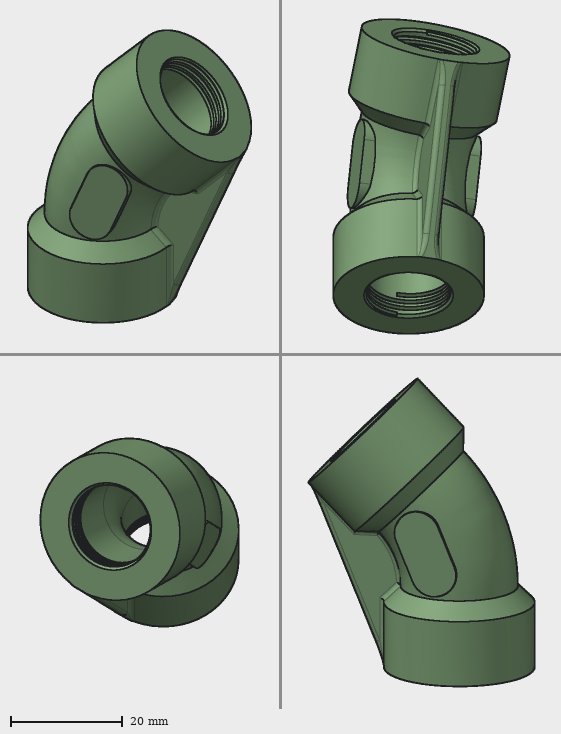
import cadquery as cq
import math

overall_height = 52.2
collar_diameter = 27.0
collar_length = 12.0
neck_diameter = 21.0
bore_diameter = 15.0
bend_angle = 45.0

rib_thickness = 3.0
rib_fillet = 1.0

width_over_pads = 21.65
pad_width = 8.25
pad_centre_spacing = 7.9
pad_offset = 2.1

mouth_chamfer = 0.495
thread_pitch = 1.35
thread_turns = 3
thread_start = 0.4
groove_width = 0.75
groove_angle = 60.0
groove_overlap = 0.15

collar_radius = collar_diameter / 2
neck_radius = neck_diameter / 2
bore_radius = bore_diameter / 2
socket_length = collar_length + collar_radius - neck_radius
bend = math.radians(bend_angle)
centre_to_face = (overall_height - collar_radius * math.sin(bend)) / (1 + math.cos(bend))
bend_radius = (centre_to_face - socket_length) / math.tan(bend / 2)

bend_centre = cq.Vector(bend_radius, 0, socket_length)
inward = cq.Vector(math.cos(bend / 2), 0, -math.sin(bend / 2))
along_rib = cq.Vector(math.sin(bend / 2), 0, math.cos(bend / 2))
bend_middle = bend_centre - inward * bend_radius

end_spare = 10.45
side_spare = 5.2
tolerance = 0.005


def at_both_ends(lower_shape):
    """The shape at the lower end together with its copy at the upper end."""
    return lower_shape.union(lower_shape.rotate(bend_centre, bend_middle, 180))


def symmetric_plate(lower_points, middle_point, thickness):
    """Plate centred on Y = 0, outlined by lower_points, their upper-end twins and middle_point."""
    upper_points = [
        point + along_rib * (2 * (bend_centre - point).dot(along_rib))
        for point in reversed(lower_points)
    ]
    outline = [(point.x, point.z) for point in [*lower_points, *upper_points, middle_point]]
    return cq.Workplane("XZ").polyline(outline).close().extrude(thickness / 2, both=True)


def bent_rod(radius):
    """Round bar along the bend, without the straight ends. Its seam lies on the outside of the bend."""
    start_plane = cq.Plane(origin=(0, 0, socket_length), xDir=(-1, 0, 0))
    return (
        cq.Workplane(start_plane)
        .circle(radius)
        .revolve(bend_angle, (-bend_radius, 0, 0), (-bend_radius, -1, 0))
    )


def outer_socket():
    """Collar, too long by end_spare, with the cone that narrows to the neck."""
    return (
        cq.Workplane("XZ")
        .polyline([
            (0, -end_spare),
            (collar_radius, -end_spare),
            (collar_radius, collar_length),
            (neck_radius, socket_length),
            (0, socket_length),
        ])
        .close()
        .revolve(360, (0, 0, 0), (0, 1, 0))
    )


def ribbed_pipe():
    """Solid outside of the fitting: neck, collars and rib.

    The corners along the rib are filleted on an oversize pipe and rib, which are then trimmed to the
    end faces and to the straight rib edge that joins the two rims.
    """
    pipe = bent_rod(neck_radius).union(at_both_ends(outer_socket()))
    wide_rib = symmetric_plate(
        [cq.Vector(0, 0, -end_spare), cq.Vector(collar_radius + side_spare, 0, -end_spare)],
        bend_middle,
        rib_thickness,
    )
    body = pipe.union(wide_rib)

    def is_rib_corner(edge):
        point = edge.positionAt(0.5)
        on_rib_face = abs(abs(point.y) - rib_thickness / 2) < tolerance
        distance_to_pipe = pipe.val().distance(cq.Vertex.makeVertex(*point.toTuple()))
        return on_rib_face and distance_to_pipe < tolerance

    body = body.edges().filter(is_rib_corner).fillet(rib_fillet)

    rim = cq.Vector(collar_radius, 0, 0)
    trim = symmetric_plate(
        [cq.Vector(-collar_radius - side_spare, 0, 0), rim],
        bend_middle - inward * collar_diameter,
        2 * collar_diameter,
    )
    body = body.intersect(trim)
    return body.edges(cq.selectors.ParallelDirSelector(along_rib)).fillet(rib_fillet)


def label_pads():
    """Oval block through the pipe whose two ends stand out as flat pads."""
    centre = bend_middle + inward * pad_offset
    pad_plane = cq.Plane(origin=centre, xDir=along_rib, normal=(0, -1, 0))
    return (
        cq.Workplane(pad_plane)
        .slot2D(pad_centre_spacing + pad_width, pad_width)
        .extrude(width_over_pads / 2, both=True)
    )


def chamfered_bore_end():
    """Straight bore at the lower end with a 45 degree chamfer at its mouth."""
    return (
        cq.Workplane("XY")
        .circle(bore_radius)
        .extrude(socket_length)
        .faces("<Z")
        .workplane()
        .circle(bore_radius + mouth_chamfer)
        .workplane(offset=-mouth_chamfer)
        .circle(bore_radius)
        .loft()
    )


def bore():
    return bent_rod(bore_radius).union(at_both_ends(chamfered_bore_end()))


def thread_groove():
    """Right-hand helical V groove in the bore wall at the lower end, starting on the outside of the bend."""
    flank_slope = math.tan(math.radians(groove_angle / 2))
    groove_depth = groove_width / 2 / flank_slope
    half_base = groove_width / 2 + groove_overlap * flank_slope
    path = cq.Wire.makeHelix(thread_pitch, thread_pitch * thread_turns, bore_radius)
    return (
        cq.Workplane("XZ")
        .polyline([
            (bore_radius - groove_overlap, -half_base),
            (bore_radius + groove_depth, 0),
            (bore_radius - groove_overlap, half_base),
        ])
        .close()
        .sweep(cq.Workplane(path), isFrenet=True)
        .rotate((0, 0, 0), (0, 0, 1), 180)
        .translate((0, 0, thread_start))
    )


def elbow():
    return ribbed_pipe().union(label_pads()).cut(bore()).cut(at_both_ends(thread_groove()))


result = cq.Compound.makeCompound([elbow().solids().val()])